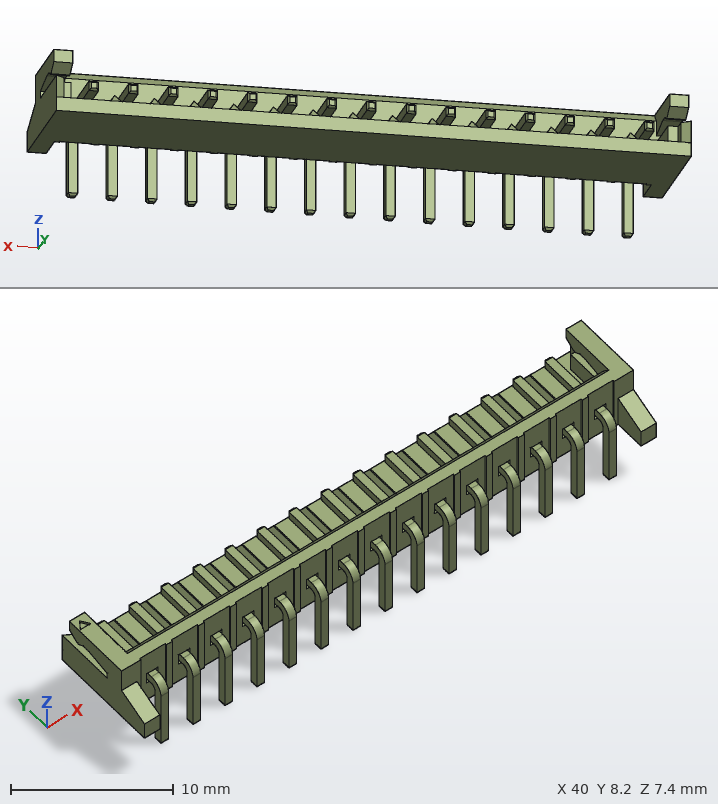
import cadquery as cq

length = 40.0
depth = 8.2
height = 4.2
tail_length = 3.2

pin_count = 15
pitch = length / (pin_count + 1)
pin_size = 0.6
pin_top = 2.3
pin_bottom = pin_top - pin_size
pin_front = 1.15
pin_back = 7.7
bend_radius = 0.95
tip_length = 0.15
tip_inset = 0.1

floor_top = 0.9
wall_front = 2.3
wall_inner = 3.7
wall_chamfer = 0.5

latch_width = 1.2
jaw_tip_width = 0.55
jaw_step = 7.0
jaw_top = pin_top
jaw_corner_run = 0.35
latch_back = 7.5
latch_back_bottom = 3.4
hook_y = 6.6
hook_z = 2.9
hook_flat = 0.15
relief_start_y = 6.1
relief_end_y = 5.5
relief_z = 3.1
slot_end_top = 2.7
foot_root_top = 2.4
foot_tip_top = 1.3

ridge_width = 0.7
ridge_height = 0.5
ridge_end_run = 0.35

rib_width = 0.5
rib_depth = 0.1
end_block_width = 1.5
pocket_width = 0.9
pocket_bottom = 1.55
pocket_top = 2.4
pocket_depth = 0.4

mark_x = 0.5
mark_width = 0.8
mark_length = 0.6
mark_front = 6.5
mark_depth = 0.15

pin_places = [pitch * (i + 1) for i in range(pin_count)]
ridge_places = [x + pitch / 2 for x in pin_places[:-1]]


def extrude_along_x(points, start, width):
    """Extrude a closed (Y, Z) outline along X from start."""
    return cq.Workplane("YZ", origin=(start, 0, 0)).polyline(points).close().extrude(width)


def box(x, y, z):
    """Box given by its (low, high) limits on each axis."""
    corner = cq.Workplane("XY", origin=(x[0], y[0], z[0]))
    return corner.box(x[1] - x[0], y[1] - y[0], z[1] - z[0], centered=False)


def make_body():
    """Floor and front wall, bevelled along its inner upper edge."""
    outline = [
        (wall_front, 0),
        (depth, 0),
        (depth, floor_top),
        (wall_inner, floor_top),
        (wall_inner, height - wall_chamfer),
        (wall_inner - wall_chamfer, height),
        (wall_front, height),
    ]
    return extrude_along_x(outline, 0, length)


def make_end(outer_x, inward):
    """Foot, lower jaw and hooked latch at one end; inward is +1 or -1 along X."""
    latch = [
        (wall_front, 0),
        (wall_inner, 0),
        (wall_inner, slot_end_top),
        (relief_end_y, relief_z),
        (relief_start_y, relief_z),
        (hook_y - hook_flat / 2, hook_z),
        (hook_y + hook_flat / 2, hook_z),
        (latch_back, latch_back_bottom),
        (latch_back, height),
        (wall_front, height),
    ]
    foot = [
        (0, 0),
        (wall_inner, 0),
        (wall_inner, foot_root_top),
        (wall_front, foot_root_top),
        (0, foot_tip_top),
    ]
    latch_inner_x = outer_x + inward * latch_width
    tip_inner_x = outer_x + inward * jaw_tip_width
    jaw = (
        cq.Workplane("XY", origin=(0, 0, floor_top))
        .moveTo(outer_x, wall_front)
        .lineTo(latch_inner_x, wall_front)
        .lineTo(latch_inner_x, jaw_step)
        .lineTo(tip_inner_x, jaw_step)
        .lineTo(tip_inner_x, depth - jaw_corner_run)
        .lineTo(outer_x, depth)
        .close()
        .extrude(jaw_top - floor_top)
    )
    end = extrude_along_x(latch, outer_x, inward * latch_width)
    end = end.union(extrude_along_x(foot, outer_x, inward * latch_width))
    return end.union(jaw)


def make_ridge(x):
    """Triangular ridge along Y whose back end slopes down to the floor."""
    ridge = (
        cq.Workplane("XZ", origin=(x, depth, floor_top))
        .polyline([(-ridge_width / 2, 0), (ridge_width / 2, 0), (0, ridge_height)])
        .close()
        .extrude(depth - wall_inner)
    )
    end_cut = extrude_along_x(
        [
            (depth, floor_top),
            (depth, floor_top + ridge_height),
            (depth - ridge_end_run, floor_top + ridge_height),
        ],
        x - ridge_width / 2,
        ridge_width,
    )
    return ridge.cut(end_cut)


def make_front_recess(left, right):
    """Shallow full-height recess in the front wall."""
    return box((left, right), (wall_front, wall_front + rib_depth), (0, height))


def make_pocket(x):
    """Blind clearance around the pin where it leaves the front wall."""
    half = pocket_width / 2
    return box((x - half, x + half), (wall_front, wall_front + pocket_depth), (pocket_bottom, pocket_top))


def make_pin_tip(plane, end_point):
    """Square taper that widens from its small end along the plane's normal."""
    small = pin_size - 2 * tip_inset
    return (
        cq.Workplane(plane, origin=end_point)
        .rect(small, small)
        .workplane(offset=tip_length)
        .rect(pin_size, pin_size)
        .loft()
    )


def make_pin(x):
    """Square pin bent down at the front, tapered at both tips."""
    bend_y = pin_front + bend_radius
    bend_z = pin_top - bend_radius
    tail_back = pin_front + pin_size
    inner_radius = bend_radius - pin_size
    bent = (
        cq.Workplane("YZ", origin=(x - pin_size / 2, 0, 0))
        .moveTo(pin_back - tip_length, pin_top)
        .lineTo(bend_y, pin_top)
        .radiusArc((pin_front, bend_z), -bend_radius)
        .lineTo(pin_front, tip_length - tail_length)
        .lineTo(tail_back, tip_length - tail_length)
        .lineTo(tail_back, bend_z)
        .radiusArc((bend_y, pin_bottom), inner_radius)
        .lineTo(pin_back - tip_length, pin_bottom)
        .close()
        .extrude(pin_size)
    )
    tail_tip = make_pin_tip("XY", (x, pin_front + pin_size / 2, -tail_length))
    contact_tip = make_pin_tip("XZ", (x, pin_back, pin_top - pin_size / 2))
    return bent.union(tail_tip).union(contact_tip)


def make_mark():
    """Triangular pin 1 mark sunk into the top of the left latch."""
    return (
        cq.Workplane("XY", origin=(mark_x, mark_front, height - mark_depth))
        .polyline([(-mark_width / 2, 0), (mark_width / 2, 0), (0, mark_length)])
        .close()
        .extrude(mark_depth)
    )


housing = make_body()
for x in ridge_places:
    housing = housing.union(make_ridge(x))

recess_lefts = [end_block_width] + [x + rib_width / 2 for x in ridge_places]
recess_rights = [x - rib_width / 2 for x in ridge_places] + [length - end_block_width]
for left, right in zip(recess_lefts, recess_rights):
    housing = housing.cut(make_front_recess(left, right))
for x in pin_places:
    housing = housing.cut(make_pocket(x))

housing = housing.union(make_end(0, 1)).union(make_end(length, -1))
housing = housing.cut(make_mark())

result = housing
for x in pin_places:
    result = result.union(make_pin(x))